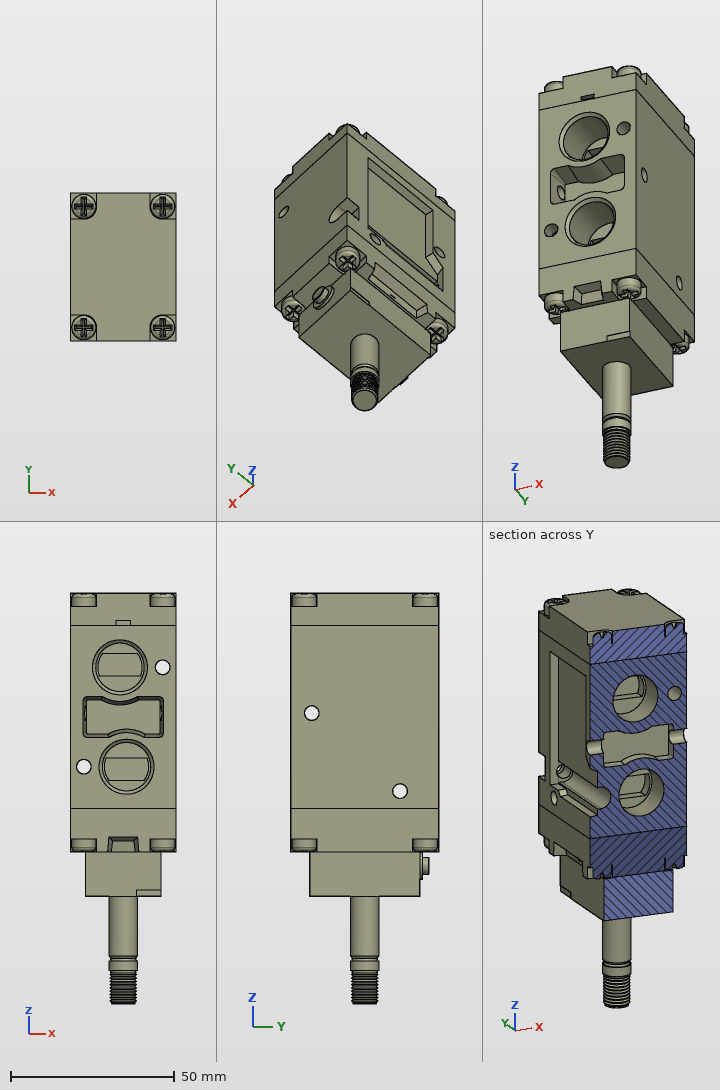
import cadquery as cq
import math

WIDTH = 32.5
DEPTH = 45.5
TOTAL_HEIGHT = 125.9
LOWER_CAP_HEIGHT = 13.3
BODY_HEIGHT = 56.0
UPPER_CAP_HEIGHT = 10.0
BODY_BOTTOM = LOWER_CAP_HEIGHT
BODY_TOP = BODY_BOTTOM + BODY_HEIGHT
TOP = BODY_TOP + UPPER_CAP_HEIGHT
BOTTOM = TOP - TOTAL_HEIGHT
BODY_MID = BODY_BOTTOM + BODY_HEIGHT / 2
LEFT_FACE = -WIDTH / 2
FRONT_FACE = -DEPTH / 2
BACK_FACE = DEPTH / 2
CLEAR = 1.3

SCREW_INSET = 4.2
SEAT_RADIUS = 3.9
SEAT_DEPTH = 4.0
HEAD_RADIUS = 3.71
HEAD_HEIGHT = 3.9
HEAD_ROUNDING = 1.3
CROSS_LENGTH = 5.8
CROSS_WIDTH = 1.6
CROSS_DEPTH = 1.6
CROSS_TAPER = 20.0

TAB_NOTCH_WIDTH = 4.4
TAB_NOTCH_HEIGHT = 1.5
TAB_NOTCH_DEPTH = 1.9
WINDOW_HEIGHT = 4.5
WINDOW_FLARE = 0.4
WINDOW_INSET = 1.1
WINDOW_TOP_DEPTH = 3.3
WINDOW_BOTTOM_DEPTH = 3.9
FRONT_WINDOW_HALF = 4.4
SIDE_WINDOW_HALF = 10.8
LATCH_WIDTH = 1.9
LATCH_TOP = 4.2
LATCH_BOTTOM = 1.1
LATCH_DEPTH = 3.8

PORT_SPACING = 30.5
PORT_OFFSET = 1.0
PORT_RADIUS = 7.4
PORT_CHAMFER = 1.0
PORT_DEPTH = 15.1
PASSAGE_RADIUS = 6.8
PASSAGE_DEPTH = 3.8
PASSAGE_HEIGHT = 6.9
UPPER_PASSAGE_RISE = 0.8
LOWER_PASSAGE_RISE = -0.8
UPPER_PORT_Z = BODY_MID + PORT_SPACING / 2
LOWER_PORT_Z = BODY_MID - PORT_SPACING / 2

MOUNT_HOLE_DIAMETER = 4.4
FRONT_HOLE_X = 12.1
SIDE_HOLES = [(-16.2, 42.5), (10.8, 18.6)]

RECESS_HALF_WIDTH = 12.3
RECESS_HEIGHT = 12.6
RECESS_DEPTH = 8.8
RECESS_CORNER = 1.5
RECESS_TAPER = 7.0
RECESS_WAIST_RADIUS = 10.5

POCKET_DEPTH = 2.5
CHANNEL_RADIUS = 3.4
CHANNEL_AXIS_DEPTH = 3.5
CHANNEL_BACK = 13.1
CHANNEL_FRONT = -17.6
CHANNEL_END_TAPER = 10.0
SCREW_SLOT_RADIUS = 3.9
SCREW_SLOT_DEPTH = 5.0

BLOCK_WIDTH = 23.2
BLOCK_DEPTH = 33.7
BLOCK_HEIGHT = 13.6
PLATE_HEIGHT = 1.9
PLATE_RECESS = 0.1
FRONT_PLATE_WIDTH = 7.5
SIDE_PLATE_WIDTH = 7.9
BUTTON_DROP = 4.3
COLLAR_RADIUS = 4.2
COLLAR_THICKNESS = 0.9
BUTTON_RADIUS = 2.6
BUTTON_REACH = 2.9
BUTTON_CHAMFER = 0.3

STEM_RADIUS = 4.4
GROOVE_TOP = -31.9
GROOVE_WAIST = -32.6
GROOVE_BOTTOM = -33.4
GROOVE_RADIUS = 3.8
GROOVE_LOWER_RADIUS = 4.0
RING_BOTTOM = -36.4
NECK_RADIUS = 3.9
NECK_BOTTOM = -37.1
THREAD_RADIUS = 4.0
THREAD_ROOT = 3.5
THREAD_PITCH = 1.0
THREAD_TURNS = 9
TIP_RADIUS = 3.7


def box(x_range, y_range, z_range):
    """Box between two values on each axis."""
    size = [high - low for low, high in (x_range, y_range, z_range)]
    return cq.Workplane("XY").box(*size, centered=False).translate((x_range[0], y_range[0], z_range[0]))


def rod_along_x(y, z, radius, x_range):
    rod = cq.Workplane("YZ").center(y, z).circle(radius).extrude(x_range[1] - x_range[0])
    return rod.translate((x_range[0], 0, 0))


def rod_along_y(x, z, radius, y_range):
    return cq.Workplane(cq.Solid.makeCylinder(
        radius, y_range[1] - y_range[0], cq.Vector(x, y_range[0], z), cq.Vector(0, 1, 0)))


def side_slot(x, z, radius, y_range):
    """U-shaped slot along Y that is open to the left face."""
    flanks = box((LEFT_FACE - CLEAR, x), y_range, (z - radius, z + radius))
    return flanks.union(rod_along_y(x, z, radius, y_range))


def screw_seats(cap_top):
    """Corner pockets with a rounded inner corner around each screw."""
    seats = None
    reach = SCREW_INSET + CLEAR
    for sx in (-1, 1):
        for sy in (-1, 1):
            x = sx * (WIDTH / 2 - SCREW_INSET)
            y = sy * (DEPTH / 2 - SCREW_INSET)
            seat = (
                cq.Workplane("XY", origin=(x, y, cap_top - SEAT_DEPTH))
                .moveTo(sx * reach, -sy * SEAT_RADIUS)
                .lineTo(0, -sy * SEAT_RADIUS)
                .radiusArc((-sx * SEAT_RADIUS, 0), sx * sy * SEAT_RADIUS)
                .lineTo(-sx * SEAT_RADIUS, sy * reach)
                .lineTo(sx * reach, sy * reach)
                .close()
                .extrude(SEAT_DEPTH + CLEAR)
            )
            seats = seat if seats is None else seats.union(seat)
    return seats


def screw_head():
    """Pan head with a cross recess, standing on z = 0."""
    head = cq.Workplane("XY").circle(HEAD_RADIUS).extrude(HEAD_HEIGHT)
    head = head.faces(">Z").edges().fillet(HEAD_ROUNDING)
    groove = cq.Workplane("XY", origin=(0, 0, HEAD_HEIGHT)).rect(CROSS_LENGTH, CROSS_WIDTH)
    groove = groove.extrude(-CROSS_DEPTH, taper=CROSS_TAPER)
    return head.cut(groove).cut(groove.rotate((0, 0, 0), (0, 0, 1), 90))


def screwed_cap(height):
    """Cap from z = 0 to its height, with the screw heads set in its upper corners."""
    cap = cq.Workplane("XY").rect(WIDTH, DEPTH).extrude(height).cut(screw_seats(height))
    for sx in (-1, 1):
        for sy in (-1, 1):
            x = sx * (WIDTH / 2 - SCREW_INSET)
            y = sy * (DEPTH / 2 - SCREW_INSET)
            cap = cap.union(screw_head().translate((x, y, height - SEAT_DEPTH)))
    return cap


def make_upper_cap():
    cap = screwed_cap(UPPER_CAP_HEIGHT).translate((0, 0, BODY_TOP))
    tab_notch = box(
        (-TAB_NOTCH_WIDTH / 2, TAB_NOTCH_WIDTH / 2),
        (FRONT_FACE - CLEAR, FRONT_FACE + TAB_NOTCH_DEPTH),
        (BODY_TOP - CLEAR, BODY_TOP + TAB_NOTCH_HEIGHT),
    )
    return cap.cut(tab_notch)


def window_wire(half_width, height, top_y, bottom_y):
    """Trapezoid widening downwards to z = 0, whose top and bottom edges may differ in y."""
    return cq.Wire.makePolygon([
        cq.Vector(-half_width, top_y, height),
        cq.Vector(half_width, top_y, height),
        cq.Vector(half_width + WINDOW_FLARE, bottom_y, 0),
        cq.Vector(-half_width - WINDOW_FLARE, bottom_y, 0),
    ], close=True)


def front_window(half_width, face_y):
    """Window with leaning walls, open to the cap's bottom, in a face looking along -Y."""
    mouth = window_wire(half_width, WINDOW_HEIGHT, face_y, face_y)
    floor = window_wire(
        half_width - WINDOW_INSET,
        WINDOW_HEIGHT - WINDOW_INSET,
        face_y + WINDOW_TOP_DEPTH,
        face_y + WINDOW_BOTTOM_DEPTH,
    )
    return cq.Workplane(cq.Solid.makeLoft([mouth, floor], True))


def make_lower_cap():
    cap = screwed_cap(LOWER_CAP_HEIGHT).rotate((0, 0, 0), (1, 0, 0), 180).translate((0, 0, BODY_BOTTOM))
    side_window = front_window(SIDE_WINDOW_HALF, LEFT_FACE).rotate((0, 0, 0), (0, 0, 1), -90)
    latch = (
        cq.Workplane("XZ", origin=(0, LATCH_WIDTH / 2, 0))
        .moveTo(LEFT_FACE, LATCH_TOP)
        .lineTo(LEFT_FACE, LATCH_BOTTOM)
        .lineTo(LEFT_FACE + LATCH_DEPTH, LATCH_BOTTOM)
        .close()
        .extrude(LATCH_WIDTH)
    )
    return cap.cut(front_window(FRONT_WINDOW_HALF, FRONT_FACE)).cut(side_window).cut(latch)


def port(x, z, passage_rise):
    """Chamfered blind bore in the front face, with a narrower passage in its floor."""
    floor_y = FRONT_FACE + PORT_DEPTH
    bore = rod_along_y(x, z, PORT_RADIUS, (FRONT_FACE, floor_y))
    chamfer = cq.Workplane(cq.Solid.makeCone(
        PORT_RADIUS + PORT_CHAMFER, PORT_RADIUS, PORT_CHAMFER,
        cq.Vector(x, FRONT_FACE, z), cq.Vector(0, 1, 0)))
    passage = rod_along_y(x, z, PASSAGE_RADIUS, (floor_y, floor_y + PASSAGE_DEPTH))
    passage_z = z + passage_rise
    band = box(
        (x - PORT_RADIUS, x + PORT_RADIUS),
        (floor_y, floor_y + PASSAGE_DEPTH),
        (passage_z - PASSAGE_HEIGHT / 2, passage_z + PASSAGE_HEIGHT / 2),
    )
    return bore.union(chamfer).union(passage.intersect(band))


def waisted_recess():
    """Tapered front recess whose top and bottom walls bend around the ports."""
    recess = (
        cq.Workplane("XZ", origin=(0, FRONT_FACE, BODY_MID))
        .sketch()
        .rect(2 * RECESS_HALF_WIDTH, RECESS_HEIGHT)
        .vertices()
        .fillet(RECESS_CORNER)
        .finalize()
        .extrude(-RECESS_DEPTH, taper=RECESS_TAPER)
    )
    growth = RECESS_DEPTH * math.tan(math.radians(RECESS_TAPER))
    for x, z in ((-PORT_OFFSET, UPPER_PORT_Z), (PORT_OFFSET, LOWER_PORT_Z)):
        recess = recess.cut(cq.Workplane(cq.Solid.makeCone(
            RECESS_WAIST_RADIUS, RECESS_WAIST_RADIUS + growth, RECESS_DEPTH,
            cq.Vector(x, FRONT_FACE, z), cq.Vector(0, 1, 0))))
    return recess


def side_pocket():
    """Shallow pocket in the left face: its mouth is a little larger than its floor."""
    mouth = [
        (13.8, 64.8), (-13.5, 64.8), (-13.5, 39.0), (-17.6, 34.9),
        (-17.6, 20.5), (6.0, 20.5), (7.5, 22.0), (13.8, 22.0),
    ]
    floor = [
        (13.1, 64.5), (-12.7, 64.5), (-12.7, 38.5), (-17.6, 33.6),
        (-17.6, 20.8), (6.0, 20.8), (7.5, 22.3), (13.1, 22.3),
    ]
    wires = [
        cq.Wire.makePolygon([cq.Vector(x, y, z) for y, z in outline], close=True)
        for x, outline in ((LEFT_FACE, mouth), (LEFT_FACE + POCKET_DEPTH, floor))
    ]
    return cq.Workplane(cq.Solid.makeLoft(wires, True))


def pocket_channel():
    """U-shaped channel along the pocket floor, with ends that lean in."""
    axis_x = LEFT_FACE + CHANNEL_AXIS_DEPTH
    slot = side_slot(axis_x, LOWER_PORT_Z, CHANNEL_RADIUS, (CHANNEL_FRONT, CHANNEL_BACK))
    ends = (
        cq.Workplane("YZ", origin=(LEFT_FACE + POCKET_DEPTH, 0, 0))
        .center((CHANNEL_FRONT + CHANNEL_BACK) / 2, LOWER_PORT_Z)
        .rect(CHANNEL_BACK - CHANNEL_FRONT, 4 * CHANNEL_RADIUS)
        .extrude(CHANNEL_AXIS_DEPTH + CHANNEL_RADIUS, taper=CHANNEL_END_TAPER)
    )
    return slot.intersect(ends)


def make_body():
    body = box((LEFT_FACE, -LEFT_FACE), (FRONT_FACE, BACK_FACE), (BODY_BOTTOM, BODY_TOP))
    body = body.cut(port(-PORT_OFFSET, UPPER_PORT_Z, UPPER_PASSAGE_RISE))
    body = body.cut(port(PORT_OFFSET, LOWER_PORT_Z, LOWER_PASSAGE_RISE))
    body = body.cut(waisted_recess())
    body = body.cut(side_pocket()).cut(pocket_channel())
    for x, z in ((FRONT_HOLE_X, UPPER_PORT_Z), (-FRONT_HOLE_X, LOWER_PORT_Z)):
        body = body.cut(rod_along_y(x, z, MOUNT_HOLE_DIAMETER / 2, (FRONT_FACE, BACK_FACE)))
    for y, z in SIDE_HOLES:
        body = body.cut(rod_along_x(y, z, MOUNT_HOLE_DIAMETER / 2, (LEFT_FACE, -LEFT_FACE)))
    slot_range = (BACK_FACE - SCREW_SLOT_DEPTH, BACK_FACE)
    return body.cut(side_slot(-FRONT_HOLE_X, LOWER_PORT_Z, SCREW_SLOT_RADIUS, slot_range))


def operator_block():
    """Block under the lower cap, with two faint corner plates let into its sides."""
    x_side = BLOCK_WIDTH / 2
    y_side = BLOCK_DEPTH / 2
    plate_range = (-BLOCK_HEIGHT, PLATE_HEIGHT - BLOCK_HEIGHT)
    block = box((-x_side, x_side), (-y_side, y_side), (-BLOCK_HEIGHT, 0))
    front_plate = box((x_side - FRONT_PLATE_WIDTH, x_side), (-y_side, PLATE_RECESS - y_side), plate_range)
    side_plate = box((-x_side, PLATE_RECESS - x_side), (y_side - SIDE_PLATE_WIDTH, y_side), plate_range)
    return block.cut(front_plate).cut(side_plate)


def button():
    """Push button with a collar on the block's back side."""
    seat_y = BLOCK_DEPTH / 2
    collar = rod_along_y(0, -BUTTON_DROP, COLLAR_RADIUS, (seat_y, seat_y + COLLAR_THICKNESS))
    knob = rod_along_y(0, -BUTTON_DROP, BUTTON_RADIUS, (seat_y, seat_y + BUTTON_REACH))
    return collar.union(knob.faces(">Y").edges().chamfer(BUTTON_CHAMFER))


def connector_stem():
    """Turned stem: grooved shank, locking ring and ring-shaped thread ridges."""
    profile = (
        cq.Workplane("XZ")
        .moveTo(0, -BLOCK_HEIGHT)
        .lineTo(STEM_RADIUS, -BLOCK_HEIGHT)
        .lineTo(STEM_RADIUS, GROOVE_TOP)
        .lineTo(GROOVE_RADIUS, GROOVE_WAIST)
        .lineTo(GROOVE_LOWER_RADIUS, GROOVE_BOTTOM)
        .lineTo(STEM_RADIUS, GROOVE_BOTTOM)
        .lineTo(STEM_RADIUS, RING_BOTTOM)
        .lineTo(NECK_RADIUS, RING_BOTTOM)
        .lineTo(NECK_RADIUS, NECK_BOTTOM)
        .lineTo(THREAD_ROOT, NECK_BOTTOM)
    )
    for turn in range(THREAD_TURNS):
        root_z = NECK_BOTTOM - turn * THREAD_PITCH
        profile = profile.lineTo(THREAD_RADIUS, root_z - THREAD_PITCH / 2)
        profile = profile.lineTo(THREAD_ROOT, root_z - THREAD_PITCH)
    profile = profile.lineTo(TIP_RADIUS, BOTTOM).lineTo(0, BOTTOM).close()
    return profile.revolve(360, (0, 0, 0), (0, 1, 0))


def make_operator():
    return operator_block().union(button()).union(connector_stem())


upper_cap = make_upper_cap()
body = make_body()
lower_cap = make_lower_cap()
operator = make_operator()

result = cq.Compound.makeCompound([upper_cap.val(), body.val(), lower_cap.val(), operator.val()])